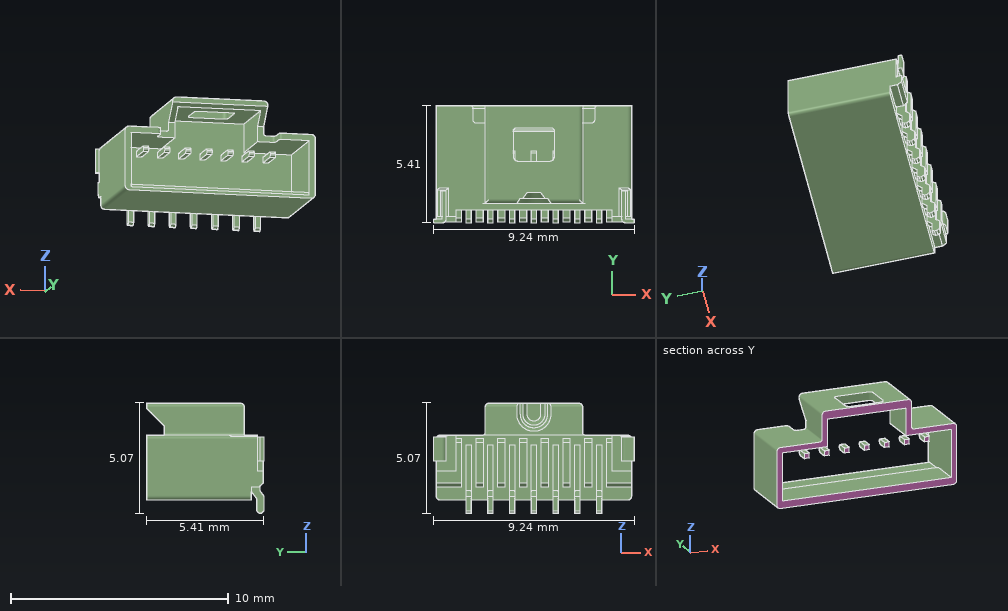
import cadquery as cq


BODY_WIDTH = 9.0
BODY_BOTTOM = 0.61
BODY_TOP = 3.6
EDGE_RADIUS = 0.19
WALL = 0.3
REAR_WALL_Y = -4.81
CORNER_REAR_Y = -5.11
RIB_REAR_Y = -5.37
TOTAL_DEPTH = 5.41

PIN_COUNT = 7
PIN_SPAN = 6.0
PITCH = PIN_SPAN / (PIN_COUNT - 1)
PIN_WIDTH = 0.25
PIN_TOP = 3.14
PIN_THICKNESS = 0.26
PIN_STEM_REAR_Y = -5.22
PIN_FOOT_FRONT_Y = -5.05
PIN_JOG_REAR_TOP = 1.04
PIN_JOG_REAR_BOTTOM = 0.79
PIN_JOG_FRONT_TOP = 1.0
PIN_JOG_FRONT_BOTTOM = 0.68
PIN_FOOT_CHAMFER = 0.12
PIN_TIP_Y = -2.09
PIN_TIP_CHAMFER = 0.09
RIB_WIDTH = 0.34
RIB_TOP = 3.45
RIB_BOTTOM = 1.21
RIB_CHAMFER = 0.19
RIB_ROOT = 0.09
CORNER_INNER_X = 3.585
LEDGE_TOP = 1.95

HOOD_WIDTH = 4.5
HOOD_TOP = 5.07
HOOD_REAR_Y = -4.5
HOOD_WALL_FRONT_Y = -0.8
HOOD_LIP = 0.25
HOOD_ROOF = 0.425
HOOD_FOOT_RADIUS = 0.1

CAVITY_REAR_Y = -3.51
FLOOR_STEP_Y = -1.12
FLOOR_STEP = 0.08
MOUTH_CHAMFER = 0.15
FLOOR_Z = BODY_BOTTOM + WALL
CAVITY_WIDTH = BODY_WIDTH - 2 * WALL
HOOD_CAVITY_WIDTH = HOOD_WIDTH - 2 * WALL
NOTCH_WIDTH = 5.6
NOTCH_RADIUS = 0.15

WINDOW_WIDTH = 1.89
WINDOW_FRONT_Y = -1.035
WINDOW_REAR_Y = -2.57
WINDOW_FRONT_RADIUS = 0.14
WINDOW_REAR_RADIUS = 0.24

RECESS_CENTER_Z = 4.56
RECESS_OUTER_RADII = (0.79, 0.63)
RECESS_INNER_RADII = (0.51, 0.31)
RECESS_LEDGE_DEPTH = 0.23
RECESS_DEPTH = 0.5

NAIL_TOP = 3.52
NAIL_BOTTOM = 2.4
NAIL_THICKNESS = 0.185
NAIL_INNER_X = 4.04
NAIL_TIP_X = 4.62
NAIL_FRONT_Y = -3.94
NAIL_TIP_RADIUS = 0.05
NAIL_LEAD_IN = 0.08
POCKET_INNER_X = 3.92
POCKET_OUTER_X = 4.47
POCKET_FRONT_Y = -3.8
POCKET_FRONT_BEVEL = 0.08
POCKET_FLOOR_Z = 3.55


def box(x0, x1, y0, y1, z0, z1):
    return cq.Workplane("XY").box(x1 - x0, y1 - y0, z1 - z0, centered=False).translate((x0, y0, z0))


def side_profile(points, width, center_x=0.0):
    """Prism of the given width along X from an outline of (y, z) points."""
    outline = cq.Workplane("YZ").workplane(offset=center_x - width / 2)
    return outline.polyline(points).close().extrude(width)


def both_sides(solid):
    """The solid together with its mirror image across the X = 0 plane."""
    return solid.union(solid.mirror("YZ"))


def row_positions(count):
    """X positions of evenly pitched items centred on X = 0."""
    return [(i - (count - 1) / 2) * PITCH for i in range(count)]


def rib(width, center_x):
    points = [
        (REAR_WALL_Y + RIB_ROOT, RIB_BOTTOM),
        (RIB_REAR_Y + RIB_CHAMFER, RIB_BOTTOM),
        (RIB_REAR_Y, RIB_BOTTOM + RIB_CHAMFER),
        (RIB_REAR_Y, RIB_TOP - RIB_CHAMFER),
        (RIB_REAR_Y + RIB_CHAMFER, RIB_TOP),
        (REAR_WALL_Y + RIB_ROOT, RIB_TOP),
    ]
    return side_profile(points, width, center_x)


def corner_block():
    points = [
        (REAR_WALL_Y, RIB_BOTTOM),
        (RIB_REAR_Y + RIB_CHAMFER, RIB_BOTTOM),
        (RIB_REAR_Y, RIB_BOTTOM + RIB_CHAMFER),
        (RIB_REAR_Y, LEDGE_TOP),
        (CORNER_REAR_Y, LEDGE_TOP),
        (CORNER_REAR_Y, BODY_TOP),
        (REAR_WALL_Y, BODY_TOP),
    ]
    width = BODY_WIDTH / 2 - CORNER_INNER_X
    return side_profile(points, width, CORNER_INNER_X + width / 2)


def body():
    envelope = (
        box(-BODY_WIDTH / 2, BODY_WIDTH / 2, RIB_REAR_Y, 0, BODY_BOTTOM, BODY_TOP)
        .edges("|Y")
        .fillet(EDGE_RADIUS)
    )
    blocks = box(-BODY_WIDTH / 2, BODY_WIDTH / 2, REAR_WALL_Y, 0, BODY_BOTTOM, BODY_TOP)
    blocks = blocks.union(both_sides(corner_block()))
    return envelope.intersect(blocks)


def ribs():
    """A rib in every gap between contacts, and a part rib joining each corner block."""
    end_inner_x = PIN_COUNT / 2 * PITCH - RIB_WIDTH / 2
    end_width = CORNER_INNER_X - end_inner_x
    solid = both_sides(rib(end_width, end_inner_x + end_width / 2))
    for center_x in row_positions(PIN_COUNT - 1):
        solid = solid.union(rib(RIB_WIDTH, center_x))
    return solid


def hood():
    wall_slope_end = HOOD_TOP - HOOD_LIP + HOOD_WALL_FRONT_Y
    points = [
        (0, HOOD_TOP),
        (0, HOOD_TOP - HOOD_LIP),
        (HOOD_WALL_FRONT_Y, wall_slope_end),
        (HOOD_WALL_FRONT_Y, BODY_TOP - WALL),
        (HOOD_REAR_Y, BODY_TOP - WALL),
        (HOOD_REAR_Y, HOOD_TOP),
    ]
    shell = side_profile(points, HOOD_WIDTH).edges("|Y and >Z").fillet(EDGE_RADIUS)
    rear_rounding = (
        box(-HOOD_WIDTH, HOOD_WIDTH, HOOD_REAR_Y, 0, 0, HOOD_TOP)
        .edges("<Y and >Z")
        .fillet(EDGE_RADIUS)
    )
    return shell.intersect(rear_rounding)


def hood_foot():
    """Concave blend between the hood side walls and the body top."""
    wall_x = HOOD_WIDTH / 2
    blend = (
        cq.Workplane("XZ", origin=(0, HOOD_WALL_FRONT_Y, 0))
        .moveTo(wall_x, BODY_TOP)
        .lineTo(wall_x + HOOD_FOOT_RADIUS, BODY_TOP)
        .radiusArc((wall_x, BODY_TOP + HOOD_FOOT_RADIUS), HOOD_FOOT_RADIUS)
        .close()
        .extrude(HOOD_WALL_FRONT_Y - HOOD_REAR_Y)
    )
    return both_sides(blend)


def cavity():
    step_z = FLOOR_Z + FLOOR_STEP
    points = [
        (0, FLOOR_Z - MOUTH_CHAMFER),
        (-MOUTH_CHAMFER, FLOOR_Z),
        (FLOOR_STEP_Y, FLOOR_Z),
        (FLOOR_STEP_Y - FLOOR_STEP, step_z),
        (CAVITY_REAR_Y, step_z),
        (CAVITY_REAR_Y, BODY_TOP - WALL),
        (0, BODY_TOP - WALL),
    ]
    lower = side_profile(points, CAVITY_WIDTH)
    upper_half = HOOD_CAVITY_WIDTH / 2
    upper = box(-upper_half, upper_half, CAVITY_REAR_Y, 0, step_z, HOOD_TOP - HOOD_ROOF)
    return lower.union(upper)


def roof_notch():
    """Opening in the body roof at the mouth, rounded inside and flared at the mouth edge."""
    half = NOTCH_WIDTH / 2
    flare = half + NOTCH_RADIUS
    return (
        cq.Workplane("XY", origin=(0, 0, BODY_TOP - WALL))
        .moveTo(-flare, 0)
        .radiusArc((-half, -NOTCH_RADIUS), NOTCH_RADIUS)
        .lineTo(-half, HOOD_WALL_FRONT_Y + NOTCH_RADIUS)
        .radiusArc((-half + NOTCH_RADIUS, HOOD_WALL_FRONT_Y), -NOTCH_RADIUS)
        .lineTo(half - NOTCH_RADIUS, HOOD_WALL_FRONT_Y)
        .radiusArc((half, HOOD_WALL_FRONT_Y + NOTCH_RADIUS), -NOTCH_RADIUS)
        .lineTo(half, -NOTCH_RADIUS)
        .radiusArc((flare, 0), NOTCH_RADIUS)
        .close()
        .extrude(WALL)
    )


def latch_window():
    half = WINDOW_WIDTH / 2
    opening = box(-half, half, WINDOW_REAR_Y, WINDOW_FRONT_Y, HOOD_TOP - HOOD_ROOF, HOOD_TOP)
    opening = opening.edges("|Z and >Y").fillet(WINDOW_FRONT_RADIUS)
    return opening.edges("|Z and <Y").fillet(WINDOW_REAR_RADIUS)


def tapered_u(radii, start_depth, end_depth):
    """One recess stage: a cone about the recess axis, swept straight up through the hood top."""
    start_y = HOOD_REAR_Y + start_depth
    end_y = HOOD_REAR_Y + end_depth
    start_radius, end_radius = radii
    cone = cq.Workplane(
        cq.Solid.makeCone(
            start_radius,
            end_radius,
            end_depth - start_depth,
            cq.Vector(0, start_y, RECESS_CENTER_Z),
            cq.Vector(0, 1, 0),
        )
    )
    slot = (
        cq.Workplane("XY", origin=(0, 0, RECESS_CENTER_Z))
        .moveTo(-start_radius, start_y)
        .lineTo(start_radius, start_y)
        .lineTo(end_radius, end_y)
        .lineTo(-end_radius, end_y)
        .close()
        .extrude(HOOD_TOP - RECESS_CENTER_Z)
    )
    return cone.union(slot)


def latch_recess():
    outer = tapered_u(RECESS_OUTER_RADII, 0, RECESS_LEDGE_DEPTH)
    inner = tapered_u(RECESS_INNER_RADII, RECESS_LEDGE_DEPTH, RECESS_DEPTH)
    return outer.union(inner)


def pin(center_x):
    leg_bottom = PIN_TOP - PIN_THICKNESS
    points = [
        (PIN_STEM_REAR_Y, PIN_TOP),
        (PIN_STEM_REAR_Y, PIN_JOG_REAR_TOP),
        (-TOTAL_DEPTH, PIN_JOG_REAR_BOTTOM),
        (-TOTAL_DEPTH, PIN_FOOT_CHAMFER),
        (-TOTAL_DEPTH + PIN_FOOT_CHAMFER, 0),
        (PIN_FOOT_FRONT_Y - PIN_FOOT_CHAMFER, 0),
        (PIN_FOOT_FRONT_Y, PIN_FOOT_CHAMFER),
        (PIN_FOOT_FRONT_Y, PIN_JOG_FRONT_BOTTOM),
        (REAR_WALL_Y, PIN_JOG_FRONT_TOP),
        (REAR_WALL_Y, leg_bottom),
        (PIN_TIP_Y - PIN_TIP_CHAMFER, leg_bottom),
        (PIN_TIP_Y, leg_bottom + PIN_TIP_CHAMFER),
        (PIN_TIP_Y, PIN_TOP - PIN_TIP_CHAMFER),
        (PIN_TIP_Y - PIN_TIP_CHAMFER, PIN_TOP),
    ]
    return side_profile(points, PIN_WIDTH, center_x)


def nail_pocket():
    """Shallow bevelled pocket in the body top, with a sloped lead-in outboard of the nail blade."""
    points = [
        (POCKET_FRONT_Y, BODY_TOP),
        (POCKET_FRONT_Y - POCKET_FRONT_BEVEL, POCKET_FLOOR_Z),
        (CORNER_REAR_Y, POCKET_FLOOR_Z),
        (CORNER_REAR_Y, BODY_TOP),
    ]
    width = POCKET_OUTER_X - POCKET_INNER_X
    lengthwise = side_profile(points, width, POCKET_INNER_X + width / 2)
    crosswise = (
        cq.Workplane("XZ", origin=(0, POCKET_FRONT_Y, 0))
        .moveTo(POCKET_INNER_X, BODY_TOP)
        .lineTo(NAIL_INNER_X, POCKET_FLOOR_Z)
        .lineTo(POCKET_OUTER_X, POCKET_FLOOR_Z)
        .lineTo(POCKET_OUTER_X, BODY_TOP)
        .close()
        .extrude(POCKET_FRONT_Y - CORNER_REAR_Y)
    )
    blade_outer_x = NAIL_INNER_X + NAIL_THICKNESS
    lead_in = (
        cq.Workplane("XZ", origin=(0, NAIL_FRONT_Y, 0))
        .moveTo(NAIL_INNER_X, POCKET_FLOOR_Z)
        .lineTo(NAIL_INNER_X, POCKET_FLOOR_Z - NAIL_LEAD_IN)
        .lineTo(blade_outer_x, POCKET_FLOOR_Z - NAIL_LEAD_IN)
        .lineTo(blade_outer_x + NAIL_LEAD_IN, POCKET_FLOOR_Z)
        .close()
        .extrude(NAIL_FRONT_Y - CORNER_REAR_Y)
    )
    return both_sides(lengthwise.intersect(crosswise).union(lead_in))


def nails():
    """L-shaped strips: a blade along Y in the slot and a flange bent outward behind the body."""
    flange_front_y = -TOTAL_DEPTH + NAIL_THICKNESS
    blade_outer_x = NAIL_INNER_X + NAIL_THICKNESS
    strip = (
        cq.Workplane("XY", origin=(0, 0, NAIL_BOTTOM))
        .moveTo(NAIL_INNER_X, NAIL_FRONT_Y)
        .lineTo(blade_outer_x, NAIL_FRONT_Y)
        .lineTo(blade_outer_x, flange_front_y)
        .lineTo(NAIL_TIP_X, flange_front_y)
        .lineTo(NAIL_TIP_X, -TOTAL_DEPTH)
        .lineTo(blade_outer_x, -TOTAL_DEPTH)
        .radiusArc((NAIL_INNER_X, flange_front_y), NAIL_THICKNESS)
        .close()
        .extrude(NAIL_TOP - NAIL_BOTTOM)
        .edges("|Z and >X")
        .fillet(NAIL_TIP_RADIUS)
    )
    return both_sides(strip)


hood_shell = hood()
result = body().union(ribs()).union(hood_shell).union(hood_foot())
result = result.cut(cavity()).cut(roof_notch().cut(hood_shell))
result = result.cut(latch_window()).cut(latch_recess())
result = result.cut(nail_pocket()).union(nails())
for pin_x in row_positions(PIN_COUNT):
    result = result.union(pin(pin_x))